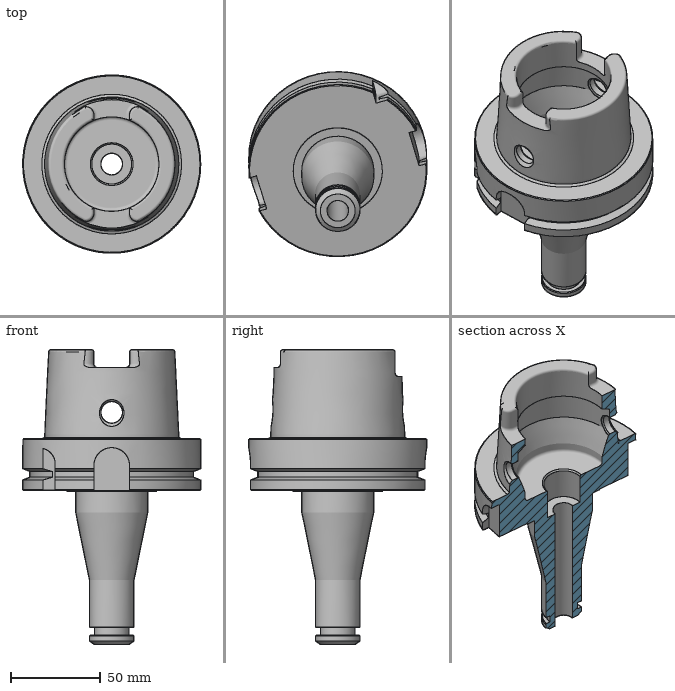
import cadquery as cq
import math

shank_height = 50.0
flange_height = 29.0
overall_height = 165.5
tail_end_z = shank_height - overall_height

taper_base_radius = 75.36 / 2
taper_base_z = 2.3
taper_slope = 1 / 21
neck_end_z = 0.8
root_radius = 39.2
rim_fillet = 1.5

flange_radius = 50.0
flange_edge_chamfer = 0.5
groove_floor_radius = 46.0
groove_center_z = -20.0
groove_floor_width = 3.2
groove_mouth_width = 6.4
pad_radius = 25.0
pad_height = 0.5

arbor_radius = 40.5 / 2
arbor_cone_top_z = -41.5
arbor_cone_end_z = -79.5
pilot_radius = 25.0 / 2
pilot_end_z = -106.0
neck_radius = 19.5 / 2
collar_top_z = -110.2
collar_edge_chamfer = 0.5
collar_end_radial = 2.75
collar_end_height = 2.0

bore_radius = 53.0 / 2
bore_straight_end_z = 30.0
clamp_groove_radius = 63.0 / 2
clamp_bevel_angle = 30.0
clamp_groove_end_z = 10.0
clamp_groove_ramp_angle = 72.0
bore_floor_z = -11.5
bore_floor_fillet = 1.9
thread_bore_radius = 22.38 / 2
thread_mouth_radius = 24.0 / 2
thread_bore_depth = 20.0
through_radius = 12.0 / 2

cross_hole_z = 14.8
cross_hole_radius = 12.0 / 2
cross_hole_mouth_radius = 15.0 / 2
cross_hole_inner_chamfer = 0.7

drive_half_width = 10.0
drive_flare_radius = 9.0 / 2
drive_shoulder_y = 32.2
drive_floor_fillet = 2.0
drive_depth_front = 10.0
drive_depth_back = 15.0

keyway_half_width = 10.0
keyway_center_z = -15.0
keyway_floor_y = 44.6
notch_wall = 31.7
notch_radius = 9.0
notch_center_z = -14.2

margin = 5.0


def turned_body():
    """Outside of the part as one turned solid."""
    taper_tip_radius = taper_base_radius - taper_slope * (shank_height - taper_base_z)
    profile = [
        (0, shank_height),
        (taper_tip_radius, shank_height),
        (taper_base_radius, taper_base_z),
        (taper_base_radius, neck_end_z),
        (root_radius, 0),
        (flange_radius - flange_edge_chamfer, 0),
        (flange_radius, -flange_edge_chamfer),
        (flange_radius, groove_center_z + groove_mouth_width / 2),
        (groove_floor_radius, groove_center_z + groove_floor_width / 2),
        (groove_floor_radius, groove_center_z - groove_floor_width / 2),
        (flange_radius, groove_center_z - groove_mouth_width / 2),
        (flange_radius, flange_edge_chamfer - flange_height),
        (flange_radius - flange_edge_chamfer, -flange_height),
        (pad_radius, -flange_height),
        (pad_radius, -flange_height - pad_height),
        (arbor_radius, -flange_height - pad_height),
        (arbor_radius, arbor_cone_top_z),
        (pilot_radius, arbor_cone_end_z),
        (pilot_radius, pilot_end_z + collar_edge_chamfer),
        (pilot_radius - collar_edge_chamfer, pilot_end_z),
        (neck_radius, pilot_end_z),
        (neck_radius, collar_top_z),
        (pilot_radius - collar_edge_chamfer, collar_top_z),
        (pilot_radius, collar_top_z - collar_edge_chamfer),
        (pilot_radius, tail_end_z + collar_end_height),
        (pilot_radius - collar_end_radial, tail_end_z),
        (0, tail_end_z),
    ]
    return cq.Workplane("XZ").polyline(profile).close().revolve(360, (0, 0), (0, 1))


def axial_bores():
    """Shank bore, threaded bore and through hole as one turned cutter."""
    mouth_depth = thread_mouth_radius - thread_bore_radius
    groove_depth = clamp_groove_radius - bore_radius
    bevel_height = groove_depth * math.tan(math.radians(clamp_bevel_angle))
    ramp_height = groove_depth * math.tan(math.radians(clamp_groove_ramp_angle))
    fillet_center_z = bore_floor_z + bore_floor_fillet
    fillet_inset = bore_floor_fillet * (1 - math.sqrt(0.5))
    return (
        cq.Workplane("XZ")
        .moveTo(0, shank_height)
        .lineTo(bore_radius, shank_height)
        .lineTo(bore_radius, bore_straight_end_z)
        .lineTo(clamp_groove_radius, bore_straight_end_z - bevel_height)
        .lineTo(clamp_groove_radius, clamp_groove_end_z)
        .lineTo(bore_radius, clamp_groove_end_z - ramp_height)
        .lineTo(bore_radius, fillet_center_z)
        .threePointArc(
            (bore_radius - fillet_inset, bore_floor_z + fillet_inset),
            (bore_radius - bore_floor_fillet, bore_floor_z),
        )
        .lineTo(thread_mouth_radius, bore_floor_z)
        .lineTo(thread_bore_radius, bore_floor_z - mouth_depth)
        .lineTo(thread_bore_radius, bore_floor_z - thread_bore_depth)
        .lineTo(through_radius, bore_floor_z - thread_bore_depth)
        .lineTo(through_radius, tail_end_z)
        .lineTo(0, tail_end_z)
        .close()
        .revolve(360, (0, 0), (0, 1))
    )


def drive_slot(depth):
    """Cutter for the drive slot on the -Y side, its walls flaring outward in quarter arcs."""
    flare_start_y = drive_shoulder_y - drive_flare_radius
    flare_end_x = drive_half_width + drive_flare_radius
    arc_offset = drive_flare_radius * math.sqrt(0.5)
    arc_mid = (flare_end_x - arc_offset, -flare_start_y - arc_offset)
    outer_x = flange_radius
    outer_y = -flange_radius
    inner_y = -margin
    return (
        cq.Workplane("XY", origin=(0, 0, shank_height - depth))
        .moveTo(-drive_half_width, inner_y)
        .lineTo(drive_half_width, inner_y)
        .lineTo(drive_half_width, -flare_start_y)
        .threePointArc(arc_mid, (flare_end_x, -drive_shoulder_y))
        .lineTo(outer_x, -drive_shoulder_y)
        .lineTo(outer_x, outer_y)
        .lineTo(-outer_x, outer_y)
        .lineTo(-outer_x, -drive_shoulder_y)
        .lineTo(-flare_end_x, -drive_shoulder_y)
        .threePointArc((-arc_mid[0], arc_mid[1]), (-drive_half_width, -flare_start_y))
        .close()
        .extrude(depth + margin)
        .faces("<Z")
        .edges()
        .fillet(drive_floor_fillet)
    )


def cross_hole():
    """Cutter for the hole along Y with conical mouths outside and inside the shank wall."""
    mouth_y = taper_base_radius - taper_slope * (cross_hole_z - taper_base_z)
    mouth_depth = cross_hole_mouth_radius - cross_hole_radius
    inner_mouth_radius = cross_hole_radius + cross_hole_inner_chamfer
    inner_mouth_y = clamp_groove_radius - cross_hole_inner_chamfer / 2
    over_radius = cross_hole_mouth_radius + margin
    profile = [
        (0, 0),
        (inner_mouth_radius, 0),
        (inner_mouth_radius, inner_mouth_y),
        (cross_hole_radius, inner_mouth_y + cross_hole_inner_chamfer),
        (cross_hole_radius, mouth_y - mouth_depth),
        (over_radius, mouth_y + margin),
        (0, mouth_y + margin),
    ]
    half = cq.Workplane("XY").polyline(profile).close().revolve(360, (0, 0), (0, 1))
    return half.union(half.mirror("XZ")).translate((0, 0, cross_hole_z))


def round_topped_slot(center_x, center_z, radius, floor_y):
    """Cutter from the plane y = -floor_y outward to -Y, open at the bottom of the flange."""
    height = center_z + flange_height
    plane = cq.Workplane("XZ", origin=(center_x, -floor_y, center_z))
    return (
        plane.moveTo(-radius, -height)
        .lineTo(-radius, 0)
        .threePointArc((0, radius), (radius, 0))
        .lineTo(radius, -height)
        .close()
        .extrude(flange_radius)
    )


body = turned_body().cut(axial_bores())

front_slot = drive_slot(drive_depth_front)
back_slot = drive_slot(drive_depth_back).mirror("XZ")
body = body.cut(front_slot).cut(back_slot)
body = body.faces(">Z").edges().fillet(rim_fillet)
body = body.cut(cross_hole())

keyway = round_topped_slot(0, keyway_center_z, keyway_half_width, keyway_floor_y)
notch = round_topped_slot(-notch_wall - notch_radius, notch_center_z, notch_radius, notch_wall)
body = body.cut(keyway).cut(keyway.mirror("XZ")).cut(notch)

result = body